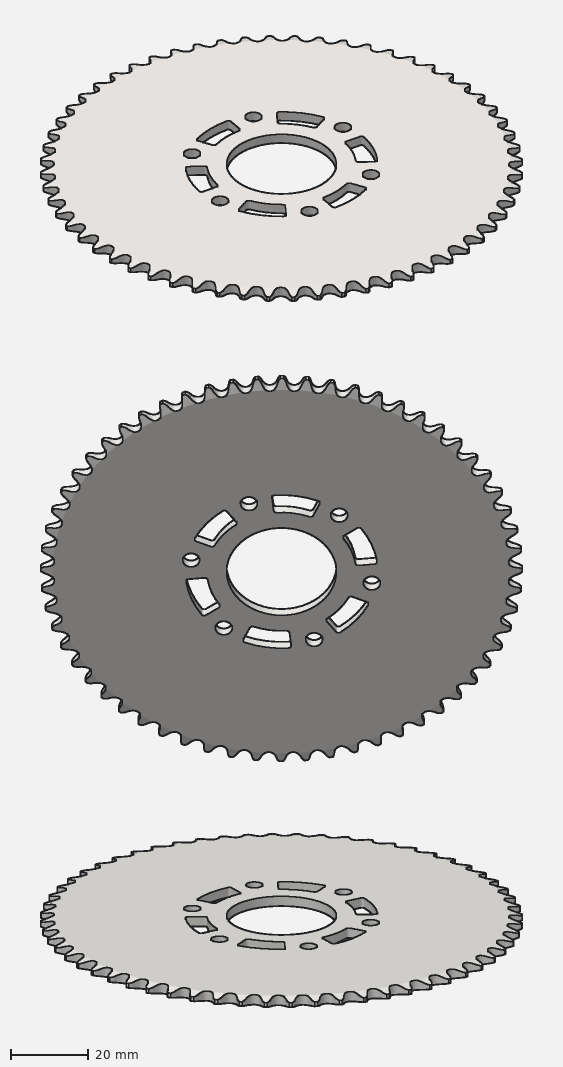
import cadquery as cq
import math

overall_size = 124.8
thickness = 2.7

tooth_count = 60
tooth_angle = 2 * math.pi / tooth_count
pitch_radius = 60.7
chain_pitch = 2 * pitch_radius * math.sin(tooth_angle / 2)
roller_diameter = 0.52 * chain_pitch
roller_clearance = 0.04
working_centre_offset = 0.8 * roller_diameter
topping_centre_offset = 1.4 * roller_diameter
seat_radius = roller_diameter / 2 + roller_clearance
working_radius = seat_radius + working_centre_offset

seat_end_angle = math.radians(55 - 60 / tooth_count)
working_sweep = math.radians(18 - 56 / tooth_count)
working_end_angle = seat_end_angle + working_sweep

topping_sweep = math.radians(17 - 64 / tooth_count)
straight_length = (
    topping_centre_offset * math.sin(topping_sweep)
    - working_centre_offset * math.sin(working_sweep)
)
topping_radius = (
    topping_centre_offset * math.cos(topping_sweep)
    + working_centre_offset * math.cos(working_sweep)
    - working_radius
)

face_radius = 59.3
tip_thickness = 1.2

bore_diameter = 28.5
bolt_count = 6
bolt_circle_radius = 23.7
bolt_hole_diameter = 4.4
window_inner_radius = 19.3
window_outer_radius = 25.0
window_half_angle = math.radians(15)
window_corner_radius = 0.7


def arc_point(centre, radius, angle):
    """Point on an arc, its angle measured from the direction towards the sprocket's centre."""
    return (centre[0] - radius * math.cos(angle), centre[1] + radius * math.sin(angle))


roller_centre = (pitch_radius, 0)
seat_bottom = arc_point(roller_centre, seat_radius, 0)
seat_end = arc_point(roller_centre, seat_radius, seat_end_angle)

working_centre = arc_point(roller_centre, -working_centre_offset, seat_end_angle)
working_mid = arc_point(working_centre, working_radius, seat_end_angle + working_sweep / 2)
working_end = arc_point(working_centre, working_radius, working_end_angle)

straight_end = (
    working_end[0] + straight_length * math.sin(working_end_angle),
    working_end[1] + straight_length * math.cos(working_end_angle),
)

topping_centre = arc_point(straight_end, topping_radius, working_end_angle)
tip_corner_angle = math.acos((overall_size / 2 - topping_centre[0]) / topping_radius)
topping_mid_angle = (working_end_angle + tip_corner_angle) / 2
tip_corner = arc_point(topping_centre, -topping_radius, tip_corner_angle)
topping_mid = arc_point(topping_centre, -topping_radius, topping_mid_angle)
tip_radius = math.hypot(*tip_corner)


def polar(radius, angle):
    return (radius * math.cos(angle), radius * math.sin(angle))


def gap_point(gap_angle, point, side=1):
    """Place a half gap point in the gap at this angle; side -1 mirrors it across the centre line."""
    along, across = point
    return polar(math.hypot(along, across), gap_angle + side * math.atan2(across, along))


def bottom_plane():
    """Workplane on the lower face; the part is centred on Z = 0."""
    return cq.Workplane("XY", origin=(0, 0, -thickness / 2))


def tooth_outline():
    """Closed toothed outline; each pass adds one gap and the tip of the tooth after it."""
    tip_angle = math.atan2(tip_corner[1], tip_corner[0])
    outline = bottom_plane().moveTo(*gap_point(0, tip_corner, -1))
    for gap in range(tooth_count):
        angle = gap * tooth_angle
        outline = (
            outline
            .threePointArc(gap_point(angle, topping_mid, -1), gap_point(angle, straight_end, -1))
            .lineTo(*gap_point(angle, working_end, -1))
            .threePointArc(gap_point(angle, working_mid, -1), gap_point(angle, seat_end, -1))
            .threePointArc(gap_point(angle, seat_bottom), gap_point(angle, seat_end))
            .threePointArc(gap_point(angle, working_mid), gap_point(angle, working_end))
            .lineTo(*gap_point(angle, straight_end))
            .threePointArc(gap_point(angle, topping_mid), gap_point(angle, tip_corner))
            .threePointArc(
                polar(tip_radius, angle + tooth_angle / 2),
                polar(tip_radius, angle + tooth_angle - tip_angle),
            )
        )
    return outline.close()


def bevelled_disc():
    """Solid disc whose rim thins conically to the tooth tips."""
    half_section = [
        (0, -thickness / 2),
        (face_radius, -thickness / 2),
        (tip_radius, -tip_thickness / 2),
        (tip_radius, tip_thickness / 2),
        (face_radius, thickness / 2),
        (0, thickness / 2),
    ]
    return cq.Workplane("XZ").polyline(half_section).close().revolve(360, (0, 0), (0, 1))


def window():
    """Cutter for one ring-segment window centred on +X, with rounded corners."""
    return (
        bottom_plane()
        .moveTo(*polar(window_inner_radius, -window_half_angle))
        .lineTo(*polar(window_outer_radius, -window_half_angle))
        .threePointArc((window_outer_radius, 0), polar(window_outer_radius, window_half_angle))
        .lineTo(*polar(window_inner_radius, window_half_angle))
        .threePointArc((window_inner_radius, 0), polar(window_inner_radius, -window_half_angle))
        .close()
        .extrude(thickness)
        .edges("|Z")
        .fillet(window_corner_radius)
    )


toothed_plate = tooth_outline().extrude(thickness)
sprocket = bevelled_disc().intersect(toothed_plate)

bore = bottom_plane().circle(bore_diameter / 2).extrude(thickness)
sprocket = sprocket.cut(bore)

bolt_holes = (
    bottom_plane()
    .polarArray(bolt_circle_radius, 90, 360, bolt_count)
    .circle(bolt_hole_diameter / 2)
    .extrude(thickness)
)
sprocket = sprocket.cut(bolt_holes)

for index in range(bolt_count):
    sprocket = sprocket.cut(window().rotate((0, 0, 0), (0, 0, 1), index * 360 / bolt_count))

result = sprocket